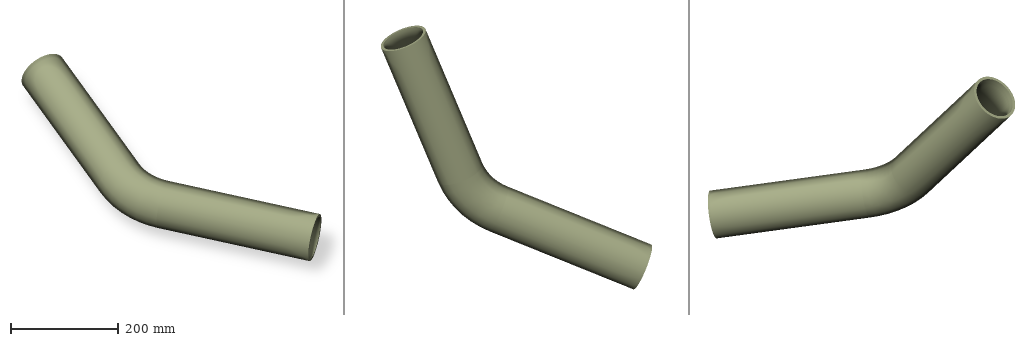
import cadquery as cq
import math

outer_diameter = 90.0
inner_diameter = 79.2
bend_angle = 45.0
bend_radius = 1.5 * outer_diameter
arm_length = 350.0

tangent_length = bend_radius * math.tan(math.radians(bend_angle) / 2)


def polar(radius, angle):
    """Point at the given radius and angle (degrees) from the origin in XY."""
    radians = math.radians(angle)
    return (radius * math.cos(radians), radius * math.sin(radians))


def offset(point, step):
    """Point moved by a step in XY."""
    return (point[0] + step[0], point[1] + step[1])


def centreline():
    """Pipe axis in the XY plane: straight along +X, elbow towards +Y, straight.

    The corner where the two straight axes meet is the origin.
    """
    start = (-arm_length, 0)
    elbow_start = (-tangent_length, 0)
    bend_centre = (-tangent_length, bend_radius)
    elbow_middle = offset(bend_centre, polar(bend_radius, bend_angle / 2 - 90))
    elbow_end = polar(tangent_length, bend_angle)
    end = polar(arm_length, bend_angle)
    return (
        cq.Workplane("XY")
        .moveTo(*start)
        .lineTo(*elbow_start)
        .threePointArc(elbow_middle, elbow_end)
        .lineTo(*end)
    )


def pipe():
    """Ring section swept along the centreline, leaving both ends open."""
    return (
        cq.Workplane("YZ", origin=(-arm_length, 0, 0))
        .circle(outer_diameter / 2)
        .circle(inner_diameter / 2)
        .sweep(centreline())
    )


result = pipe()